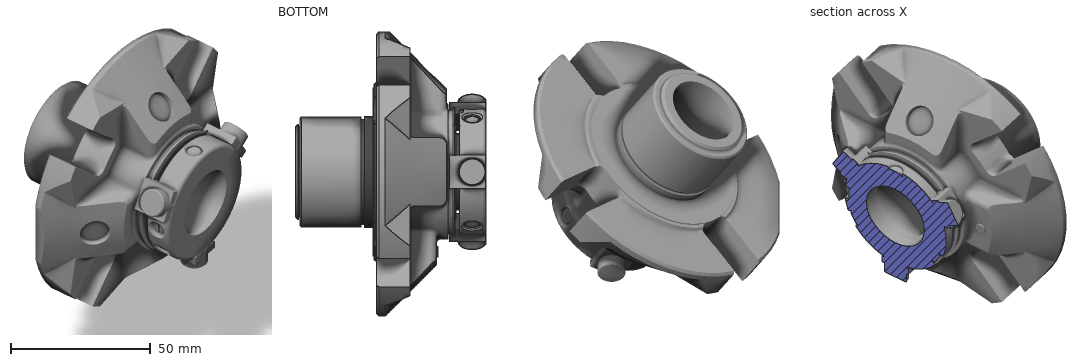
import cadquery as cq
import math

bore_d = 25.4
nose_d = 33.91
nose_neck_d = 32.4
nose_chamfer = 0.9
nose_length = 1.6
nose_rim_end = 1.2
sleeve_d = 39.37
sleeve_chamfer = 0.6
sleeve_groove_d = 37.57
sleeve_groove_start = 23.4
sleeve_groove_end = 24.7
shoulder_d = 39.6
thin_sleeve_d = 27.38

pilot_x = 27.8
pilot_d = 60.0
pilot_step_d = 62.9
pilot_step_x = 28.2
pilot_end_x = 36.0
face_groove_d = 65.5
plate_front_x = 29.0
plate_back_x = 41.0
plate_r = 103.12 / 2
plate_flat_y = -50.0
plate_edge_chamfer = 0.9
cone_start_x = 32.1
slot_width = 14.36
slot_floor_r = pilot_d / 2
slot_corner_r = 3.0
slot_angles = (45, 135, 225, 315)

lobe_half_width = 12.2
lobe_back_x = 54.0
short_lobe_back_x = 50.4
lobe_round = 2.4
root_round = 1.4
hub_round = 1.5
hub_d = 48.0
hub_back_x = 54.5

trim_rim_front = (cone_start_x, 19.2)
trim_rim_back = (plate_back_x, 26.5)
trim_cone_back = (plate_back_x, 11.5)

port_d = 11.0
port_depth = 2.6
front_port_x = 46.6
top_port_x = 48.6

pin_d = 3.75
pin_height = 0.5
pin_r = 28.5

seat_d = 44.4
seat_end_x = 56.3
lip_d = 45.92
lip_end_x = 56.8
snap_ring_d = 33.58
snap_ring_end_x = 57.4

collar_start_x = 58.65
collar_end_x = 68.2
collar_d = 45.2
collar_round = 1.4
screw_x = collar_end_x - 5.0
set_screw_angles = (90, 210, 330)
slotted_screw_angle = 180
set_screw_hole_d = 6.0
set_screw_d = 5.8
set_screw_tip_chamfer = 0.55
set_screw_tip_r = 21.6
set_screw_floor_r = 20.6
countersink_d = 7.5
slotted_screw_d = 5.0
slotted_screw_r = 21.2
screw_slot_width = 0.9
screw_slot_depth = 0.6

clip_angles = (30, 150, 270)
clip_inner_r = 22.1
clip_outer_r = 25.2
clip_half_width = 5.95
clip_start_x = 55.1
clip_end_x = 68.0
clip_hook_r = 20.5
clip_hook_start_x = 57.0
clip_groove_start_x = 56.1
clip_groove_r = lip_d / 2
button_d = 10.0
button_top_r = 29.4
button_chamfer = 0.4


def disc(d, x0, x1):
    """Cylinder on the X axis from x0 to x1."""
    return cq.Workplane("YZ").workplane(offset=x0).circle(d / 2).extrude(x1 - x0)


def revolved(points):
    """Body of revolution about X from an (x, radius) outline."""
    return cq.Workplane("XY").polyline(points).close().revolve(360, (0, 0, 0), (1, 0, 0))


def box(x0, x1, y0, y1, z0, z1):
    return cq.Workplane("XY").box(x1 - x0, y1 - y0, z1 - z0, centered=False).translate((x0, y0, z0))


def turned(body, angle):
    """Turn a body built along +Y about the X axis; 90 degrees points to +Z."""
    return body.rotate((0, 0, 0), (1, 0, 0), angle)


def radial_pin(d, x, r0, r1):
    """Cylinder along +Y centred on x, from radius r0 to r1."""
    return cq.Workplane("XZ", origin=(x, r0, 0)).circle(d / 2).extrude(-(r1 - r0))


def cone_radius(x):
    """Radius of the 45 degree cone that bounds the lobes."""
    return plate_r - (x - cone_start_x)


def make_sleeve():
    r = sleeve_d / 2
    outline = [
        (0, 0),
        (0, nose_d / 2 - nose_chamfer),
        (nose_chamfer, nose_d / 2),
        (nose_rim_end, nose_d / 2),
        (nose_rim_end, nose_neck_d / 2),
        (nose_length, nose_neck_d / 2),
        (nose_length, r - sleeve_chamfer),
        (nose_length + sleeve_chamfer, r),
        (sleeve_groove_start, r),
        (sleeve_groove_start, sleeve_groove_d / 2),
        (sleeve_groove_end, sleeve_groove_d / 2),
        (sleeve_groove_end, shoulder_d / 2),
        (cone_start_x, shoulder_d / 2),
        (cone_start_x, thin_sleeve_d / 2),
        (collar_end_x, thin_sleeve_d / 2),
        (collar_end_x, 0),
    ]
    return revolved(outline)


def trim_plane_body():
    """Half-space outside one notch flat of the +Y lobe, as a large box."""
    def rim_point(station):
        x, z = station
        return cq.Vector(x, math.sqrt(plate_r ** 2 - z ** 2), z)
    x_c, z_c = trim_cone_back
    a = rim_point(trim_rim_front)
    b = rim_point(trim_rim_back)
    c = cq.Vector(x_c, math.sqrt(cone_radius(x_c) ** 2 - z_c ** 2), z_c)
    normal = (c - a).cross(b - a)
    if normal.y < 0:
        normal = normal * -1
    plane = cq.Plane(origin=a.toTuple(), xDir=(b - a).toTuple(), normal=normal.toTuple())
    return cq.Workplane(plane).rect(4 * plate_r, 4 * plate_r).extrude(2 * plate_r)


def make_slot():
    """Open bolt slot along +Y with a cylindrical floor and rounded floor corners."""
    start_x = pilot_x - 1
    half_width = slot_width / 2
    cutter = box(start_x, plate_back_x, 0, plate_r + 10, -half_width, half_width)
    cutter = cutter.cut(disc(2 * slot_floor_r, start_x - 1, plate_back_x + 1))
    corner_y = math.sqrt(slot_floor_r ** 2 - half_width ** 2)
    floor_corners = cq.selectors.BoxSelector(
        (start_x, corner_y - 1, -slot_width), (plate_back_x, corner_y + 1, slot_width))
    return cutter.edges(floor_corners).edges("|X").fillet(slot_corner_r)


def make_rim():
    """Full-thickness plate disc with flat-sided notches centred on the lobes."""
    rim = disc(2 * plate_r, plate_front_x, plate_back_x)
    trim = trim_plane_body()
    notch = trim.intersect(trim.mirror("XY"))
    for angle in (0, 90, 180, 270):
        rim = rim.cut(turned(notch, angle))
    return rim


def make_lobe(back_x):
    """Straight-sided lobe blank along +Y with rounded back edges."""
    lobe = box(plate_front_x, back_x, 0, plate_r + 5, -lobe_half_width, lobe_half_width)
    return lobe.edges("|Y and >X").fillet(lobe_round)


def make_core():
    """Conical body with four lobes standing on the plate around the hub."""
    core = disc(hub_d, plate_front_x, hub_back_x).union(make_lobe(short_lobe_back_x))
    for angle in (90, 180, 270):
        core = core.union(turned(make_lobe(lobe_back_x), angle))
    core = core.union(disc(2 * plate_r + 30, plate_front_x, plate_back_x))
    hub_corner = math.sqrt((hub_d / 2) ** 2 - lobe_half_width ** 2)
    behind_plate = cq.selectors.BoxSelector(
        (plate_back_x + 0.1, -hub_corner - 1, -hub_corner - 1),
        (short_lobe_back_x, hub_corner + 1, hub_corner + 1))
    core = core.edges(behind_plate).edges("|X").fillet(hub_round)
    cone = revolved([
        (plate_front_x, 0),
        (plate_front_x, plate_r),
        (cone_start_x, plate_r),
        (hub_back_x, cone_radius(hub_back_x)),
        (hub_back_x, 0),
    ])
    root = cq.selectors.BoxSelector(
        (plate_back_x - 0.1, -plate_r - 4, -plate_r - 4),
        (plate_back_x + 0.1, plate_r + 4, plate_r + 4), boundingbox=False)
    core = core.edges(root).edges("|Y or |Z").fillet(root_round)
    return core.intersect(cone)


def make_pilot():
    """Stepped pilot with a concave run-out into the plate face."""
    runout_r = face_groove_d / 2
    step_r = pilot_step_d / 2
    mid_x = plate_front_x - 0.25 * (plate_front_x - pilot_step_x)
    mid_r = step_r + 0.3 * (runout_r - step_r)
    outline = cq.Workplane("XY").moveTo(pilot_x, 0).lineTo(pilot_x, pilot_d / 2)
    outline = outline.lineTo(pilot_step_x, pilot_d / 2).lineTo(pilot_step_x, step_r)
    outline = outline.threePointArc((mid_x, mid_r), (plate_front_x, runout_r))
    outline = outline.lineTo(pilot_end_x, runout_r).lineTo(pilot_end_x, 0).close()
    return outline.revolve(360, (0, 0, 0), (1, 0, 0))


def make_port(x):
    """Blind hole square to the cone on the +Y lobe."""
    plane = cq.Plane(origin=(x, cone_radius(x), 0), xDir=(0, 0, 1), normal=(1, 1, 0))
    return cq.Workplane(plane).workplane(offset=-port_depth).circle(port_d / 2).extrude(3 * port_depth)


def make_pin():
    """Short pin standing on the back face of the short lobe."""
    base = cq.Workplane("YZ", origin=(short_lobe_back_x - 1, pin_r, 0))
    return base.circle(pin_d / 2).extrude(1 + pin_height)


def make_gland():
    gland = make_rim().union(make_core())
    gland = gland.cut(box(0, collar_end_x, -2 * plate_r, plate_flat_y, -2 * plate_r, 2 * plate_r))
    gland = gland.faces("<X").edges().chamfer(plate_edge_chamfer)
    gland = gland.union(make_pilot())
    for angle in slot_angles:
        gland = gland.cut(turned(make_slot(), angle))
    gland = gland.union(make_pin())
    gland = gland.cut(turned(make_port(front_port_x), 180))
    return gland.cut(turned(make_port(top_port_x), 90))


def make_rings():
    seat = disc(seat_d, hub_back_x - 1, seat_end_x)
    lip = disc(lip_d, seat_end_x, lip_end_x)
    snap_ring = disc(snap_ring_d, lip_end_x, snap_ring_end_x)
    return seat.union(lip).union(snap_ring)


def countersink_cut(bore_diameter, floor_r):
    """Screw recess along +Y: 45 degree sink from the collar rim and a bore down to floor_r."""
    r = collar_d / 2
    sink_end_r = r - (countersink_d - bore_diameter) / 2
    outline = [
        (screw_x, floor_r),
        (screw_x + bore_diameter / 2, floor_r),
        (screw_x + bore_diameter / 2, sink_end_r),
        (screw_x + countersink_d / 2, r),
        (screw_x + countersink_d / 2, r + 1),
        (screw_x, r + 1),
    ]
    profile = cq.Workplane("XY").polyline(outline).close()
    return profile.revolve(360, (screw_x, 0, 0), (screw_x, 1, 0))


def make_set_screw():
    tip = radial_pin(set_screw_d, screw_x, set_screw_floor_r - 1, set_screw_tip_r)
    return tip.faces(">Y").chamfer(set_screw_tip_chamfer)


def make_screw_slot():
    """Driver slot across the slotted screw, cut along +Y."""
    half_width = screw_slot_width / 2
    half_length = slotted_screw_d / 2
    r = slotted_screw_r
    return box(screw_x - half_width, screw_x + half_width, r - screw_slot_depth, r + 1,
               -half_length, half_length)


def make_collar():
    collar = disc(collar_d, collar_start_x, collar_end_x).edges().fillet(collar_round)
    for angle in set_screw_angles:
        collar = collar.cut(turned(countersink_cut(set_screw_hole_d, set_screw_floor_r), angle))
        collar = collar.union(turned(make_set_screw(), angle))
    slotted_recess = countersink_cut(slotted_screw_d, slotted_screw_r).union(make_screw_slot())
    return collar.cut(turned(slotted_recess, slotted_screw_angle))


def make_clip():
    """Setting clip along +Y: hooked plate with a round button on its outer face."""
    outline = [
        (clip_start_x, clip_outer_r),
        (clip_start_x, clip_inner_r),
        (clip_groove_start_x, clip_inner_r),
        (clip_groove_start_x, clip_groove_r),
        (clip_hook_start_x, clip_groove_r),
        (clip_hook_start_x, clip_hook_r),
        (collar_start_x, clip_hook_r),
        (collar_start_x, clip_inner_r),
        (clip_end_x, clip_inner_r),
        (clip_end_x, clip_outer_r),
    ]
    plate = cq.Workplane("XY").polyline(outline).close().extrude(clip_half_width, both=True)
    button = radial_pin(button_d, screw_x, clip_inner_r, button_top_r)
    button = button.faces(">Y").chamfer(button_chamfer)
    return plate.union(button)


def make_shaft_assembly():
    """Sleeve, rings, drive collar and setting clips joined on the X axis."""
    shaft = make_sleeve().union(make_rings()).union(make_collar())
    for angle in clip_angles:
        shaft = shaft.union(turned(make_clip(), angle))
    return shaft


result = make_gland().union(make_shaft_assembly())
result = result.cut(disc(bore_d, -1, collar_end_x + 1))